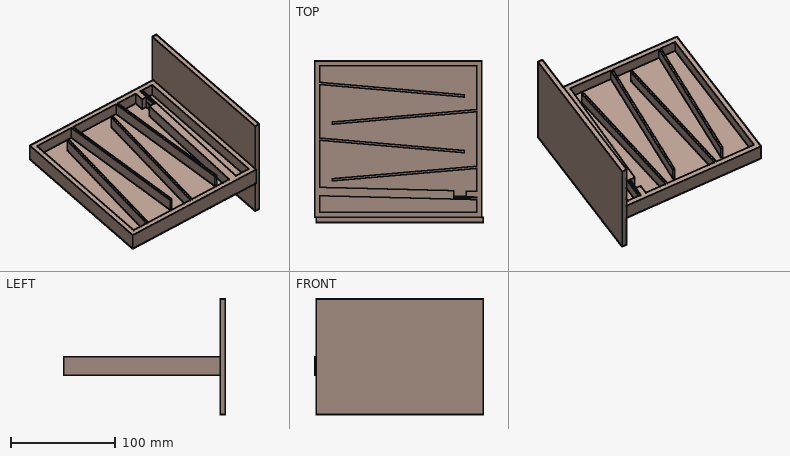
import cadquery as cq

panel_width = 160.1
panel_thickness = 5.0
panel_height = 110.8

tray_shift = 1.5
tray_depth = 149.9
tray_height = 18.0
wall = 5.0
floor_thickness = 5.0
tray_top = panel_height / 2
floor_top = tray_top - tray_height + floor_thickness

inner_left = wall
inner_right = panel_width - wall
inner_front = panel_thickness + wall
inner_back = panel_thickness + tray_depth - wall

crosspiece_left_front = 25.7
crosspiece_drop = 3.7
crosspiece_width = 8.0

gate_left = 133.1
gate_right = 145.0
gate_front = 25.2
gate_back = 30.0
slit_front = 23.9
slit_right_back = 24.4

ramp_reach = 138.3
ramp_rise = 12.0
ramp_thickness = 2.1
left_ramp_backs = (134.2, 81.0)
right_ramp_backs = (108.2, 54.0)


def prism(points, bottom, top):
    """Extrude a plan outline between two heights."""
    return cq.Workplane("XY").workplane(offset=bottom).polyline(points).close().extrude(top - bottom)


def ramp(wall_x, free_x, wall_y):
    """Thin ramp sloping towards the front from a side wall to its free end."""
    free_y = wall_y - ramp_rise
    points = [
        (wall_x, wall_y),
        (free_x, free_y),
        (free_x, free_y - ramp_thickness),
        (wall_x, wall_y - ramp_thickness),
    ]
    return prism(points, floor_top, tray_top)


panel = (
    cq.Workplane("XY")
    .box(panel_width, panel_thickness, panel_height, centered=False)
    .translate((tray_shift, 0, 0))
)
tray = (
    cq.Workplane("XY")
    .box(panel_width, tray_depth, tray_height, centered=False)
    .translate((0, panel_thickness, tray_top - tray_height))
)

crosspiece_slope = crosspiece_drop / (inner_right - inner_left)
gate_left_y = crosspiece_left_front + crosspiece_width - crosspiece_slope * (gate_left - inner_left)
main_compartment = [
    (inner_left, inner_back),
    (inner_left, crosspiece_left_front + crosspiece_width),
    (gate_left, gate_left_y),
    (gate_left, gate_front),
    (gate_right, gate_front),
    (gate_right, gate_back),
    (inner_right, gate_back),
    (inner_right, inner_back),
]
front_pocket = [
    (inner_left, inner_front),
    (inner_right, inner_front),
    (inner_right, crosspiece_left_front - crosspiece_drop),
    (inner_left, crosspiece_left_front),
]
gate_slit = [
    (gate_left, slit_front),
    (inner_right, slit_front),
    (inner_right, slit_right_back),
    (gate_left, gate_front),
]
for outline in (main_compartment, front_pocket):
    tray = tray.cut(prism(outline, floor_top, tray_top))
slit_bottom = (floor_top + tray_top) / 2
tray = tray.cut(prism(gate_slit, slit_bottom, tray_top))

result = panel.union(tray)
for back_y in left_ramp_backs:
    result = result.union(ramp(inner_left, inner_left + ramp_reach, back_y))
for back_y in right_ramp_backs:
    result = result.union(ramp(inner_right, inner_right - ramp_reach, back_y))